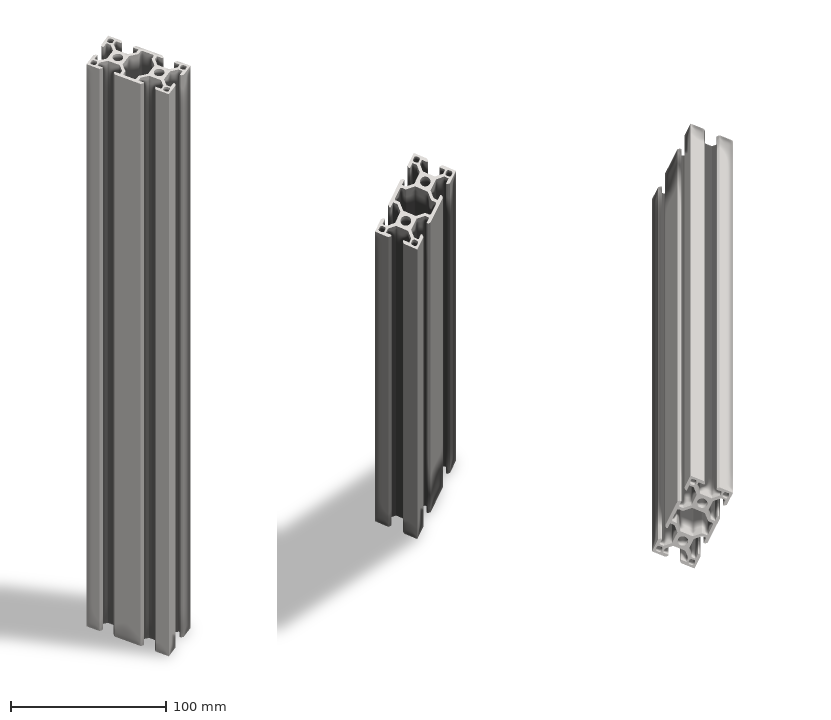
import cadquery as cq

cell = 30.0
length = 500.0
width = 2 * cell

lip = 2.25
slot_opening = 8.5
mouth_chamfer = 1.25
slot_width = 16.5
slot_round = 0.5

core = 11.5
bore_radius = 3.4
slot_web_foot = 1.5
void_web_foot = 1.25

void_neck = 9.5
void_round = 1.0

hollow = 4.0
hollow_wall = 1.5
hollow_round = 1.3

half_cell = cell / 2
half_core = core / 2
lip_height = half_cell - lip


def bar(points):
    """Full-length bar with the given polygon as its section."""
    return cq.Workplane("XY").polyline(points).close().extrude(length)


def closed_over(right_side):
    """Right-hand points of an outline followed by their mirror images across the Y axis."""
    return right_side + [(-x, y) for x, y in reversed(right_side)]


def slot():
    """T-slot of a cell centred on the origin, opening towards +Y."""
    wide = slot_width / 2
    bend_height = wide + slot_web_foot
    chamber = bar(
        closed_over(
            [
                (half_core - slot_web_foot, half_core),
                (wide, bend_height),
                (wide, lip_height),
            ]
        )
    )
    narrow = slot_opening / 2
    mouth = bar(
        closed_over(
            [
                (narrow, half_core),
                (narrow, half_cell - mouth_chamfer),
                (narrow + mouth_chamfer, half_cell),
            ]
        )
    )
    web_corners = chamber.edges("|Z").edges("not >Y")
    return web_corners.fillet(slot_round).union(mouth)


def middle_void():
    """Void between the two cores: upright sides at waist and necks, joined at 45 degrees."""
    neck = void_neck / 2
    waist = half_cell - half_core
    waist_height = half_core - void_web_foot
    bend_height = waist_height + waist - neck
    upper_right = [(waist, waist_height), (neck, bend_height), (neck, lip_height)]
    lower_right = [(x, -y) for x, y in reversed(upper_right)]
    return bar(closed_over(lower_right + upper_right)).edges("|Z").fillet(void_round)


def corner_hollows():
    """Rounded square hollows, one in each corner of the bar."""
    inset = hollow_wall + hollow / 2
    return (
        cq.Workplane("XY")
        .rect(width - 2 * inset, cell - 2 * inset, forConstruction=True)
        .vertices()
        .rect(hollow, hollow)
        .extrude(length)
        .edges("|Z")
        .fillet(hollow_round)
    )


def core_bores():
    """Round holes along the axes of the two cores."""
    centres = [(-half_cell, 0), (half_cell, 0)]
    return cq.Workplane("XY").pushPoints(centres).circle(bore_radius).extrude(length)


profile = cq.Workplane("XY").rect(width, cell).extrude(length)

for side in (-1, 1):
    for turn in (0, 180, -90 * side):
        turned_slot = slot().rotate((0, 0, 0), (0, 0, 1), turn)
        profile = profile.cut(turned_slot.translate((side * half_cell, 0, 0)))

result = profile.cut(middle_void()).cut(corner_hollows()).cut(core_bores())